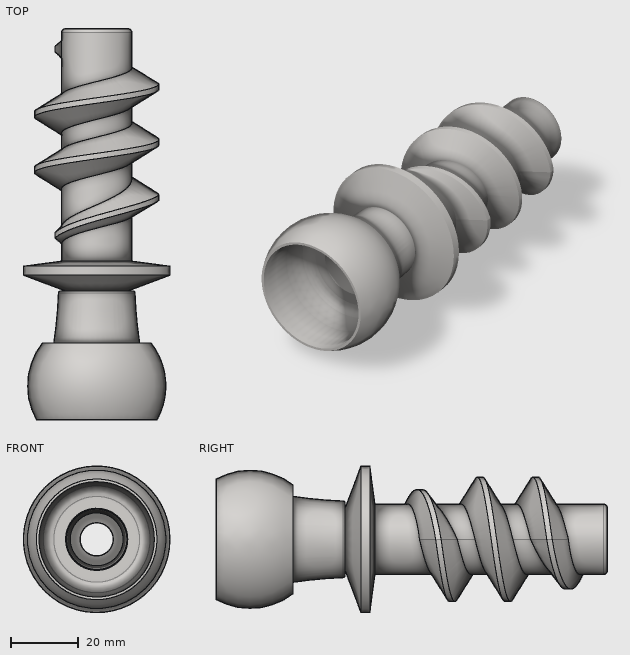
import cadquery as cq
import math

overall_length = 115.3

ball_radius = 20.4
ball_center = 10.0
ball_length = 22.7
socket_wall = 2.3
cavity_diameter = 34.0
cavity_center = 11.9
cavity_depth = ball_length - socket_wall
cavity_fillet = 3.3
neck_base_radius = 12.7
neck_tip_radius = 11.3
neck_mid_radius = 11.8
neck_tip_fillet = 0.7
joint = 38.0

shank_radius = 10.4
tip_fillet = 1.2
tip_wall = 2.3
tip_hole_diameter = 9.7
flange_diameter = 43.2
flange_foot_radius = 9.3
rim_start = 42.7
rim_end = 45.3
flange_top = 46.8

bore_start_diameter = 18.3
bore_end_diameter = 15.6
bore_end = overall_length - tip_wall

thread_radius = 18.3
thread_root_radius = 9.8
thread_crest_width = 1.6
flank_slope = 0.6
pitch = 16.4
full_turns = 2
thread_start = 65.5
thread_middle = thread_start + pitch * full_turns / 2

runout_angle = 157.0
runout_steps = 6
runout_first_drop = 8.6
runout_recovery = 3.7
runout_length = 11.1
runout_lead_power = 1.1
runout_end_lean = 27.0


def revolve_about_y(profile):
    return profile.close().revolve(360, (0, 0, 0), (0, 1, 0))


def bore_radius(y):
    """Radius of the drafted bore at a distance from the mouth."""
    share = (y - cavity_depth) / (bore_end - cavity_depth)
    return (bore_start_diameter + (bore_end_diameter - bore_start_diameter) * share) / 2


def bore_section(y_from, y_to):
    profile = (
        cq.Workplane("XY")
        .moveTo(0, y_from)
        .lineTo(bore_radius(y_from), y_from)
        .lineTo(bore_radius(y_to), y_to)
        .lineTo(0, y_to)
    )
    return revolve_about_y(profile)


def ball_slice_radius(y):
    return math.sqrt(ball_radius**2 - (y - ball_center) ** 2)


def make_cavity():
    radius = cavity_diameter / 2
    floor_radius = math.sqrt(radius**2 - (cavity_depth - cavity_center) ** 2)
    shoulder_turn = math.atan2(cavity_depth - cavity_center, floor_radius) / 2
    shoulder = (radius * math.cos(shoulder_turn), cavity_center + radius * math.sin(shoulder_turn))
    profile = (
        cq.Workplane("XY")
        .lineTo(radius, 0)
        .lineTo(radius, cavity_center)
        .threePointArc(shoulder, (floor_radius, cavity_depth))
        .lineTo(0, cavity_depth)
    )
    return revolve_about_y(profile).faces(">Y").edges().fillet(cavity_fillet)


def make_ball_socket():
    ball_profile = (
        cq.Workplane("XY")
        .lineTo(ball_slice_radius(0), 0)
        .threePointArc((ball_radius, ball_center), (ball_slice_radius(ball_length), ball_length))
        .lineTo(0, ball_length)
    )
    neck_profile = (
        cq.Workplane("XY")
        .moveTo(0, ball_length)
        .lineTo(neck_base_radius, ball_length)
        .threePointArc((neck_mid_radius, (ball_length + joint) / 2), (neck_tip_radius, joint))
        .lineTo(0, joint)
    )
    neck = revolve_about_y(neck_profile).faces(">Y").edges().fillet(neck_tip_fillet)
    body = revolve_about_y(ball_profile).union(neck)
    return body.cut(make_cavity()).cut(bore_section(cavity_depth, joint))


def thread_section(crest_radius, crest_angle, root_angle, height):
    """Trapezoid across the thread, with the thread axis along Z and angles in degrees."""
    crest_half = thread_crest_width / 2
    root_half = crest_half + flank_slope * (crest_radius - thread_root_radius)

    def point(radius, angle, offset):
        turn = math.radians(angle)
        return cq.Vector(radius * math.cos(turn), radius * math.sin(turn), height + offset)

    corners = [
        point(thread_root_radius, root_angle, -root_half),
        point(crest_radius, crest_angle, -crest_half),
        point(crest_radius, crest_angle, crest_half),
        point(thread_root_radius, root_angle, root_half),
    ]
    return cq.Wire.makePolygon(corners, close=True)


def make_full_thread():
    path = cq.Wire.makeHelix(pitch, pitch * full_turns, thread_root_radius)
    section = thread_section(thread_radius, 0, 0, 0)
    thread = cq.Solid.sweep(section, [], path, makeSolid=True, isFrenet=True)
    return thread.translate(cq.Vector(0, 0, thread_start))


def make_lower_runout():
    sections = []
    for step in range(runout_steps + 1):
        share = step / runout_steps
        angle = -runout_angle * share
        crest_radius = thread_radius - runout_first_drop * share + runout_recovery * share**2
        height = thread_start - runout_length * share**runout_lead_power
        lean = runout_end_lean * share**2
        sections.append(thread_section(crest_radius, angle, angle - lean, height))
    return cq.Solid.makeLoft(sections)


def make_thread():
    """Full thread and both run-outs, turned so that the thread axis lies along Y."""
    lower = make_lower_runout()
    upper = lower.rotate(cq.Vector(0, 0, thread_middle), cq.Vector(1.2, 0, thread_middle), 180)
    pieces = [make_full_thread(), lower, upper]
    return [piece.rotate(cq.Vector(0, 0, 0), cq.Vector(1, 0, 0), -90) for piece in pieces]


def make_screw():
    flange_radius = flange_diameter / 2
    profile = (
        cq.Workplane("XY")
        .moveTo(0, joint)
        .lineTo(flange_foot_radius, joint)
        .lineTo(flange_radius, rim_start)
        .lineTo(flange_radius, rim_end)
        .lineTo(shank_radius, flange_top)
        .lineTo(shank_radius, overall_length)
        .lineTo(0, overall_length)
    )
    body = revolve_about_y(profile).faces(">Y").edges().fillet(tip_fillet)
    for piece in make_thread():
        body = body.union(cq.Workplane(piece))
    tip_hole = cq.Workplane("XZ").circle(tip_hole_diameter / 2).extrude(-overall_length)
    return body.cut(bore_section(joint, bore_end)).cut(tip_hole)


ball_socket = make_ball_socket().solids()
screw = make_screw().solids()

result = cq.Compound.makeCompound([ball_socket.val(), screw.val()])